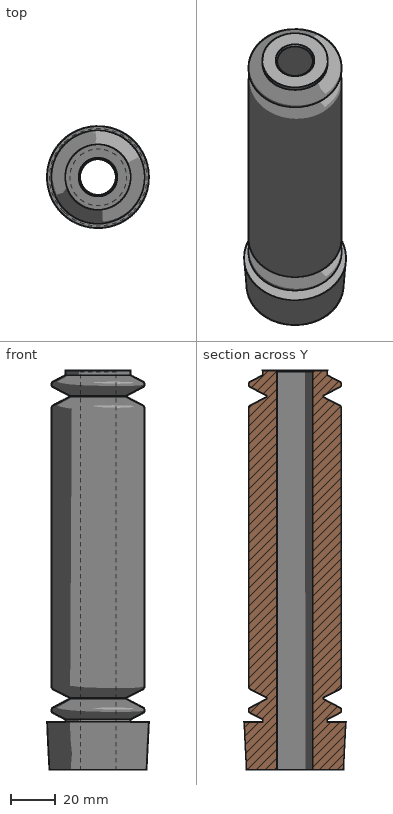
import cadquery as cq
import math

total_height = 179.5
cup_height = 21.5
cup_top_radius = 23.0
cup_bottom_radius = 21.9

body_radius = 21.0
collar_radius = 14.7
groove_radius = 12.7
mid_height = 100.0
collar_base = 77.4
ridge_center = 73.2
groove_center = 67.9
groove_floor_half = 0.2
ridge_round = 1.5
shoulder_round = 1.8
cone_angle = math.radians(27.0)

bore_radius = 16.0 / 2
bore_chamfer = 0.7


def tapered_ring(radius_low, z_low, radius_high, z_high):
    """Solid cone frustum or cylinder about Z between two heights."""
    points = [(0, z_low), (radius_low, z_low), (radius_high, z_high), (0, z_high)]
    return cq.Workplane("XZ").polyline(points).close().revolve(360, (0, 0), (0, 1))


def half_grip():
    """Half of the grip above mid_height: body, groove, rounded ridge and collar."""
    sin_slope = math.sin(cone_angle)
    cos_slope = math.cos(cone_angle)
    slope = math.tan(cone_angle)
    half_normal = (math.pi / 2 - cone_angle) / 2

    shoulder_center_radius = body_radius - shoulder_round
    shoulder_tangent_radius = shoulder_center_radius + shoulder_round * sin_slope
    groove_low = groove_center - groove_floor_half
    shoulder_tangent_z = groove_low - (shoulder_tangent_radius - groove_radius) * slope
    shoulder_center_z = shoulder_tangent_z - shoulder_round * cos_slope

    ridge_tangent_radius = body_radius - ridge_round * (1 - sin_slope)
    ridge_half = ridge_round * cos_slope

    profile = (
        cq.Workplane("XZ")
        .moveTo(0, 0)
        .lineTo(body_radius, 0)
        .lineTo(body_radius, shoulder_center_z)
        .threePointArc(
            (
                shoulder_center_radius + shoulder_round * math.cos(half_normal),
                shoulder_center_z + shoulder_round * math.sin(half_normal),
            ),
            (shoulder_tangent_radius, shoulder_tangent_z),
        )
        .lineTo(groove_radius, groove_low)
        .lineTo(groove_radius, groove_center + groove_floor_half)
        .lineTo(ridge_tangent_radius, ridge_center - ridge_half)
        .threePointArc(
            (body_radius, ridge_center),
            (ridge_tangent_radius, ridge_center + ridge_half),
        )
        .lineTo(collar_radius, collar_base)
        .lineTo(collar_radius, total_height - mid_height)
        .lineTo(0, total_height - mid_height)
        .close()
    )
    return profile.revolve(360, (0, 0), (0, 1))


def bore():
    """Through hole with a small chamfer at the top mouth."""
    hole = tapered_ring(bore_radius, 0, bore_radius, total_height)
    mouth = tapered_ring(
        bore_radius, total_height - bore_chamfer, bore_radius + bore_chamfer, total_height
    )
    return hole.union(mouth)


top_end = half_grip()
bottom_end = top_end.rotate((0, 0, 0), (1, 0, 0), 180)
grip = top_end.union(bottom_end, clean=True).translate((0, 0, mid_height))
cup = tapered_ring(cup_bottom_radius, 0, cup_top_radius, cup_height)

result = grip.union(cup).cut(bore())